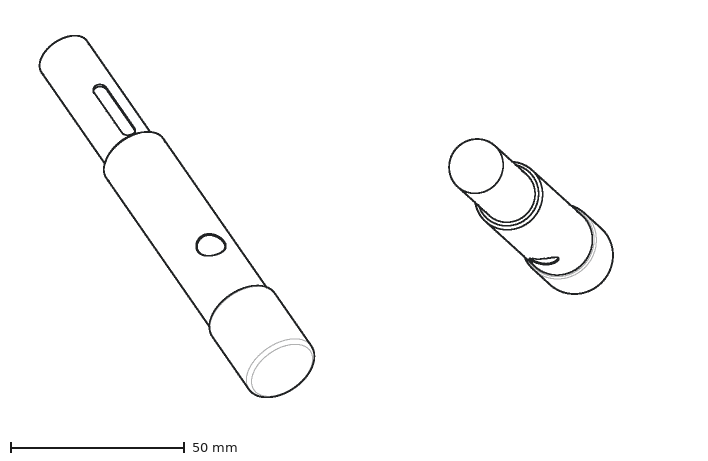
import cadquery as cq

total_length = 139
journal_diameter = 16.0
journal_length = 44.0
body_diameter = 20.0
body_chamfer = 1.0
head_diameter = 22.0
head_length = 25
head_inner_fillet = 0.5
head_end_fillet = 1.1

hole_diameter = 8.0
hole_x = 93.8
hole_rim_chamfer = 0.3

key_length = 22.0
key_width = 4.0
key_depth = 1.0
key_shoulder_gap = 1.1


def cylinder(start_x, length, diameter):
    """Cylinder on the X axis, from start_x towards +X."""
    return cq.Workplane("YZ", origin=(start_x, 0, 0)).circle(diameter / 2).extrude(length)


def stepped_shaft():
    head_start = total_length - head_length
    journal = cylinder(0, journal_length, journal_diameter)
    body = cylinder(journal_length, head_start - journal_length, body_diameter)
    body = body.faces("<X").chamfer(body_chamfer)
    head = cylinder(head_start, head_length, head_diameter)
    head = head.faces("<X").edges().fillet(head_inner_fillet)
    head = head.faces(">X").edges().fillet(head_end_fillet)
    return journal.union(body).union(head)


def drill_cross_hole(shaft):
    """Drill through the shaft along Z and break both curved rims evenly."""
    bottom = -head_diameter / 2
    plane = cq.Workplane("XY", origin=(hole_x, 0, bottom))
    drilled = shaft.cut(plane.circle(hole_diameter / 2).extrude(head_diameter))
    rim_zone = cq.selectors.BoxSelector(
        (hole_x - hole_diameter, -hole_diameter, -body_diameter),
        (hole_x + hole_diameter, hole_diameter, body_diameter),
    )
    return drilled.edges(rim_zone).edges("%BSPLINE").chamfer(hole_rim_chamfer)


def keyway():
    center_x = journal_length - key_shoulder_gap - key_length / 2
    floor_z = journal_diameter / 2 - key_depth
    plane = cq.Workplane("XY", origin=(center_x, 0, floor_z))
    return plane.slot2D(key_length, key_width).extrude(key_depth)


result = drill_cross_hole(stepped_shaft()).cut(keyway())